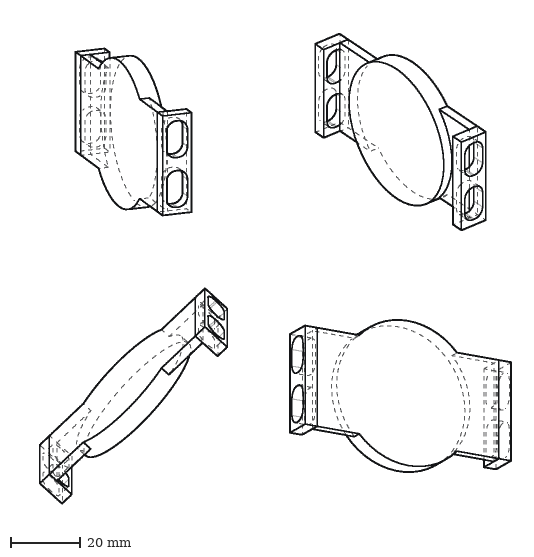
import cadquery as cq

total_length = 68.0
disc_diameter = 44.0
disc_depth = 6.0
plate_height = 30.0
plate_thickness = 3.0

bar_width = 4.0
bar_depth = 9.0
slot_width = 6.5
slot_length = 11.0
slot_corner_radius = 3.0
slot_pitch = plate_height / 2

bar_offset = (total_length - bar_width) / 2


def make_disc_plate():
    """Flat plate between the end bars, with a thicker round disc at its centre."""
    plate_length = total_length - 2 * bar_width
    plate = cq.Workplane("XY").box(
        plate_length, plate_thickness, plate_height, centered=(True, False, True)
    )
    disc = cq.Workplane("XZ").circle(disc_diameter / 2).extrude(-disc_depth)
    return plate.union(disc)


def make_end_bar(x_center):
    """Upright bar with two round-cornered slots passing through it along X."""
    bar = cq.Workplane("XY").box(bar_width, bar_depth, plate_height)
    for z_center in (-slot_pitch / 2, slot_pitch / 2):
        slot = (
            cq.Workplane("XY")
            .box(bar_width, slot_width, slot_length)
            .edges("|X")
            .fillet(slot_corner_radius)
            .translate((0, 0, z_center))
        )
        bar = bar.cut(slot)
    return bar.translate((x_center, bar_depth / 2, 0))


disc_plate = make_disc_plate()
end_bars = [make_end_bar(x_center) for x_center in (-bar_offset, bar_offset)]

result = cq.Compound.makeCompound([disc_plate.val(), *[bar.val() for bar in end_bars]])